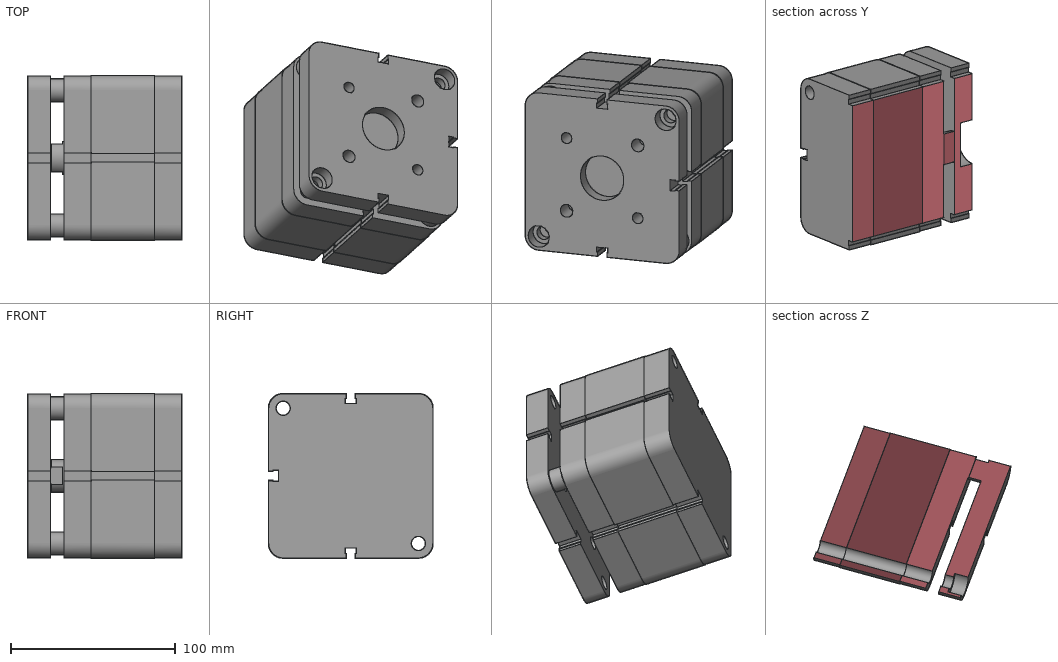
import cadquery as cq

plate_thickness = 14.0
stroke_gap = 8.0
cap_length = 16.5
total_length = 93.5
front_cap_start = plate_thickness + stroke_gap
barrel_start = front_cap_start + cap_length
rear_cap_start = total_length - cap_length
barrel_length = rear_cap_start - barrel_start

barrel_side = 100.0
barrel_corner_radius = 9.0
edge_inset = 0.25
cap_side = barrel_side - 2 * edge_inset
cap_corner_radius = barrel_corner_radius - edge_inset

slot_depth = 6.1
slot_lip_depth = 3.0
cap_slot_mouth = 6.0
cap_slot_width = 7.0
barrel_slot_mouth = 5.2
barrel_slot_width = 6.2
slot_angles = (0, 90, 180)

corner_offset = 41.0
guide_rod_diameter = 14.0
screw_hole_diameter = 8.4
head_recess_diameter = 13.5
head_recess_depth = 8.5
guide_corners = [(corner_offset, corner_offset), (-corner_offset, -corner_offset)]
screw_corners = [(-corner_offset, corner_offset), (corner_offset, -corner_offset)]

recess_diameter = 28.0
recess_depth = 9.0
mount_offset = 23.0
mount_thread_diameter = 6.8
mount_pin_diameter = 8.0
thread_places = [(mount_offset, mount_offset), (-mount_offset, -mount_offset)]
pin_places = [(-mount_offset, mount_offset), (mount_offset, -mount_offset)]

rod_diameter = 20.0
rod_chamfer = 0.4
flat_width = 17.0
flat_collar = 1.0


def section_at(x):
    """Sketch plane across the X axis: local x is +Y, local y is +Z."""
    return cq.Workplane("YZ", origin=(x, 0, 0))


def cylinders(x, length, diameter, places):
    """Cylinders along +X at the given (Y, Z) places."""
    return section_at(x).pushPoints(places).circle(diameter / 2).extrude(length)


def rounded_block(x, length, side, corner_radius):
    return section_at(x).rect(side, side).extrude(length).edges("|X").fillet(corner_radius)


def slot_cutter(x, length, mouth, width):
    """Slot in the +Z side: a narrow mouth above a wider channel."""
    top = barrel_side / 2
    bottom = top - slot_depth
    lip = top - slot_lip_depth
    profile = [
        (-width / 2, bottom),
        (-width / 2, lip),
        (-mouth / 2, lip),
        (-mouth / 2, top),
        (mouth / 2, top),
        (mouth / 2, lip),
        (width / 2, lip),
        (width / 2, bottom),
    ]
    return section_at(x).polyline(profile).close().extrude(length)


def cut_slots(block, x, length, mouth, width):
    cutter = slot_cutter(x, length, mouth, width)
    for angle in slot_angles:
        block = block.cut(cutter.rotate((0, 0, 0), (1, 0, 0), angle))
    return block


def make_yoke():
    """Yoke plate in one piece with its two guide rods."""
    plate = rounded_block(0, plate_thickness, cap_side, cap_corner_radius)
    plate = cut_slots(plate, 0, plate_thickness, cap_slot_mouth, cap_slot_width)
    plate = plate.cut(cylinders(0, plate_thickness, screw_hole_diameter, screw_corners))
    plate = plate.cut(cylinders(0, head_recess_depth, head_recess_diameter, screw_corners))
    plate = plate.cut(cylinders(0, plate_thickness, mount_thread_diameter, thread_places))
    plate = plate.cut(cylinders(0, plate_thickness, mount_pin_diameter, pin_places))
    plate = plate.cut(cylinders(0, recess_depth, recess_diameter, [(0, 0)]))
    return plate.union(cylinders(plate_thickness, stroke_gap, guide_rod_diameter, guide_corners))


def make_piston_rod():
    """Rod between the plate and the front cap, with two wrench flats facing +Y and -Y."""
    rod = section_at(plate_thickness).circle(rod_diameter / 2).extrude(stroke_gap)
    rod = rod.faces("<X").chamfer(rod_chamfer)
    flat_length = stroke_gap - flat_collar
    flat_envelope = section_at(plate_thickness).rect(flat_width, rod_diameter).extrude(flat_length)
    collar = section_at(front_cap_start - flat_collar).circle(rod_diameter / 2).extrude(flat_collar)
    return rod.intersect(flat_envelope.union(collar))


def make_cap(x):
    cap = rounded_block(x, cap_length, cap_side, cap_corner_radius)
    cap = cut_slots(cap, x, cap_length, cap_slot_mouth, cap_slot_width)
    return cap.cut(cylinders(x, cap_length, screw_hole_diameter, screw_corners))


def make_barrel():
    barrel = rounded_block(barrel_start, barrel_length, barrel_side, barrel_corner_radius)
    barrel = cut_slots(barrel, barrel_start, barrel_length, barrel_slot_mouth, barrel_slot_width)
    return barrel.cut(cylinders(barrel_start, barrel_length, screw_hole_diameter, screw_corners))


yoke = make_yoke()
piston_rod = make_piston_rod()
barrel = make_barrel()
caps = [make_cap(x) for x in (front_cap_start, rear_cap_start)]

result = cq.Compound.makeCompound(
    [yoke.val(), piston_rod.val(), barrel.val(), *[cap.val() for cap in caps]]
)